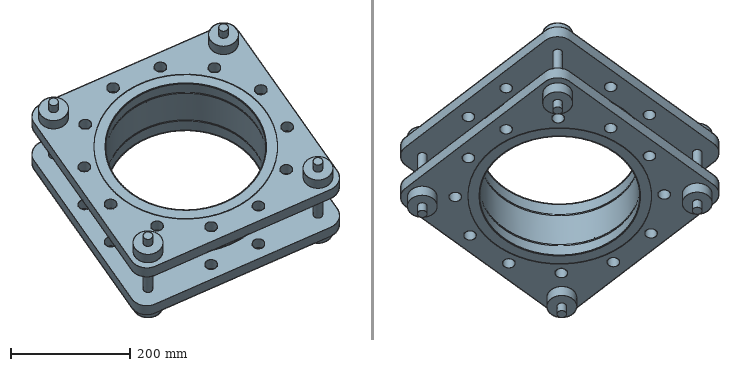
import cadquery as cq

plate_side = 395.0
plate_thickness = 24.5
plate_corner_radius = 29.2
plate_inner_z = 39.0
plate_outer_z = plate_inner_z + plate_thickness

bolt_count = 12
bolt_circle_radius = 175.5
bolt_hole_diameter = 21.0
bolt_start_angle = 360 / bolt_count / 2

rod_length = 210.0
rod_diameter = 16.0
rod_spacing = 326.3
nut_diameter = 50.0
nut_height = 22.5

barrel_radius = 154.0
barrel_half_height = 32.8
barrel_chamfer = 2.8
neck_radius = 136.0
collar_radius = 136.5
collar_half_height = 36.0
seal_face_height = 1.0
sleeve_half_height = plate_outer_z + seal_face_height

bore_radius = 134.3
mouth_radius = 135.5
mouth_depth = 1.0


def cylinder(radius, bottom_z, top_z):
    """Upright cylinder on the Z axis."""
    return cq.Workplane("XY").workplane(offset=bottom_z).circle(radius).extrude(top_z - bottom_z)


def centred_cylinder(radius, half_height):
    """Upright cylinder reaching equally far above and below the XY plane."""
    return cylinder(radius, -half_height, half_height)


def with_mirror(body):
    """A body together with its mirror image below the XY plane."""
    return body.union(body.mirror("XY"))


def make_plate():
    """Upper rounded square plate with its raised sealing face and ring of bolt holes."""
    plate = (
        cq.Workplane("XY")
        .workplane(offset=plate_inner_z)
        .rect(plate_side, plate_side)
        .extrude(plate_thickness)
        .edges("|Z")
        .fillet(plate_corner_radius)
    )
    plate = (
        plate.faces(">Z")
        .workplane()
        .polarArray(bolt_circle_radius, bolt_start_angle, 360, bolt_count)
        .hole(bolt_hole_diameter)
    )
    return plate.union(cylinder(barrel_radius, plate_outer_z, sleeve_half_height))


def make_sleeve():
    """Stepped sleeve: neck, collar and chamfered barrel."""
    barrel = centred_cylinder(barrel_radius, barrel_half_height).edges().chamfer(barrel_chamfer)
    neck = centred_cylinder(neck_radius, plate_outer_z)
    collar = centred_cylinder(collar_radius, collar_half_height)
    return neck.union(collar).union(barrel)


def make_bore():
    """Volume removed from the middle of the part."""
    mouth = cylinder(mouth_radius, sleeve_half_height - mouth_depth, sleeve_half_height)
    return centred_cylinder(bore_radius, sleeve_half_height).union(with_mirror(mouth))


def make_tie_rod():
    """Tie rod with a round nut bearing on the outer side of each plate."""
    nut = cylinder(nut_diameter / 2, plate_outer_z, plate_outer_z + nut_height)
    return centred_cylinder(rod_diameter / 2, rod_length / 2).union(with_mirror(nut))


result = make_sleeve()
result = result.union(with_mirror(make_plate()))
result = result.cut(make_bore())

tie_rod = make_tie_rod()
for x_side in (-1, 1):
    for y_side in (-1, 1):
        rod_position = (x_side * rod_spacing / 2, y_side * rod_spacing / 2, 0)
        result = result.union(tie_rod.translate(rod_position))